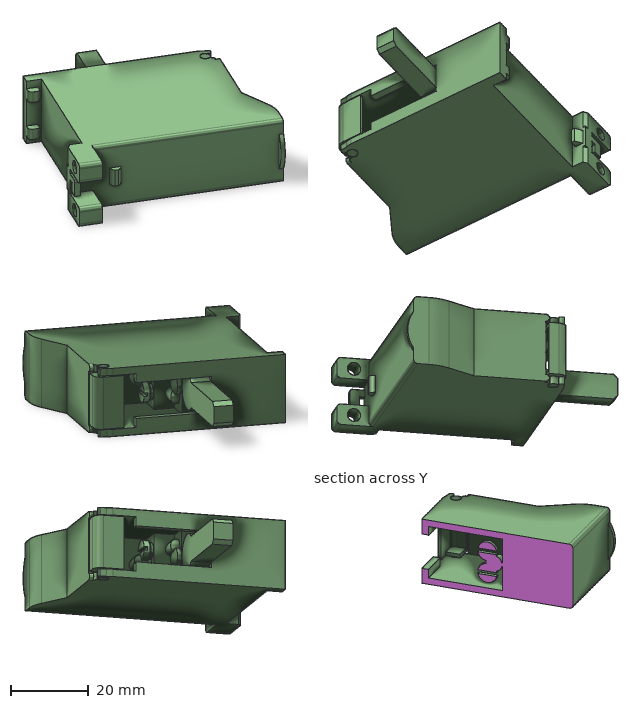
import cadquery as cq
import math


total_length = 69.7
lever_reach = 19.25
flange_end = total_length - lever_reach
thickness = 18.2
half_thickness = thickness / 2
housing_length = 41.95
overall_height = 57.2
shoulder_height = 51.1
slope_start = 24.7
slope_top_x = 32.35
slope_top_y = 55.6
crown_mid_x = 35.0
crown_mid_y = 56.8
crown_end = 38.0
back_edge_radius = 1.05

rail_depth = 4.05
left_foot_width = 3.0
right_foot_start = 38.95
foot_chamfer_length = 1.1
flange_height = 6.1
flange_corner_radius = 1.1
flange_gap = 7.05
ear_hole_x = 45.9
ear_hole_z = 6.3
ear_hole_diameter = 3.4

clip_reach = 2.15
clip_height = 3.1
clip_width = 3.0
clip_z = 5.45
clip_bottom_radius = 1.1
clip_top_radius = 0.6

latch_width = 4.6
latch_reach = 1.9
latch_nose_y = 2.15
latch_root_y = 0.8
tongue_end = 45.9
tongue_thickness = 1.5
tongue_corner_radius = 0.6
tongue_slot_width = 1.45
tongue_slot_height = 2.7

bump_y = 12.05
bump_half_height = 1.5
bump_tip_half_height = 0.5
bump_flank_half_height = 1.25
bump_reach = 1.5
lip_reach = 1.5
lip_height = 1.2
lip_radius = 9.05

wall = 1.9
window_width = 9.55
cavity_width = 14.35
window_bottom = 19.85
window_shoulder = 40.1
cavity_top = 50.0
corner_opening = 5.7
hub_space_end = 9.05
steps = [(15.3, 25.1), (22.3, 30.6), (30.7, 38.1)]

cover_width = 13.9
cover_length = 4.9
cover_bottom = 43.3
cover_wall = 0.85
cover_radius = 2.3
cover_arm_bottom = 46.3
cover_arm_thickness = 1.05
pin_x = 3.1
pin_y = 47.9
pin_radius = 1.4
pin_recess = 0.105
neck_half_width = 1.2
horn_foot_x = 0.1
horn_root_x = 0.3
horn_tip_x = 0.5
horn_crest_x = 1.1
horn_shoulder_drop = 0.35
stop_radius = (thickness - cavity_width) / 4

lever_bottom = window_bottom
lever_top = 25.1
lever_width = 6.7
lever_chamfer = 1.1
hub_x = 4.05
hub_radius = 4.7

screw_head_radius = 2.7
screw_head_height = 2.0
screw_head_chamfer = 0.4
screw_neck_radius = 2.2
screw_neck_height = 0.6
screw_slot_width = 0.9
screw_slot_depth = 0.9
stud_radius = 2.3
side_terminal_z = 3.1
terminal_inset = 2.8
rear_stud_apex = 4.6
front_stud_apex = 2.45
button_rim = 1.1
button_rise = 0.85


def block(x0, x1, y0, y1, width, z=0.0):
    """Box between two X and two Y values, centred on z."""
    centre = ((x0 + x1) / 2, (y0 + y1) / 2, z)
    return cq.Workplane("XY").box(x1 - x0, y1 - y0, width).translate(centre)


def upright(x, y, z, radius, height):
    """Cylinder standing on (x, y, z) along +Y."""
    return cq.Workplane(cq.Solid.makeCylinder(radius, height, cq.Vector(x, y, z), cq.Vector(0, 1, 0)))


def housing():
    outline = (
        cq.Workplane("XY")
        .moveTo(0, 0)
        .lineTo(left_foot_width, 0)
        .lineTo(left_foot_width, rail_depth)
        .lineTo(right_foot_start, rail_depth)
        .lineTo(right_foot_start, flange_height)
        .lineTo(housing_length, flange_height)
        .lineTo(housing_length, overall_height)
        .lineTo(crown_end, overall_height)
        .threePointArc((crown_mid_x, crown_mid_y), (slope_top_x, slope_top_y))
        .lineTo(slope_start, shoulder_height)
        .lineTo(0, shoulder_height)
        .close()
    )
    body = outline.extrude(half_thickness, both=True)
    return body.edges("|Y").edges(">X").fillet(back_edge_radius)


def flange():
    ears = block(right_foot_start, flange_end, 0, flange_height, thickness)
    foot_corner = (
        cq.Workplane("XY")
        .polyline([
            (right_foot_start, 0),
            (right_foot_start + foot_chamfer_length, 0),
            (right_foot_start, latch_root_y),
        ])
        .close()
        .extrude(half_thickness, both=True)
    )
    ears = ears.cut(foot_corner)
    ears = ears.union(block(right_foot_start, housing_length, 0, flange_height, flange_gap))
    ears = ears.cut(block(housing_length, flange_end, 0, flange_height, flange_gap))
    ears = ears.edges("|Y").edges(">X").fillet(flange_corner_radius)
    for side in (-1, 1):
        ears = ears.cut(
            upright(ear_hole_x, 0, side * ear_hole_z, ear_hole_diameter / 2, flange_height)
        )
    return ears


def rail_clip(side):
    end = left_foot_width + clip_reach
    clip = block(left_foot_width, end, 0, clip_height, clip_width, side * clip_z)
    clip = clip.edges("|Z").edges(">X").edges("<Y").fillet(clip_bottom_radius)
    return clip.edges("|Z").edges(">X").edges(">Y").fillet(clip_top_radius)


def latch():
    nose_x = right_foot_start - latch_reach
    nose = (
        cq.Workplane("XY")
        .polyline([
            (right_foot_start, latch_root_y),
            (nose_x, latch_nose_y),
            (nose_x, clip_height),
            (right_foot_start, clip_height),
        ])
        .close()
        .extrude(latch_width / 2, both=True)
    )
    tongue = block(housing_length, tongue_end, 0, tongue_thickness, latch_width)
    tongue = tongue.edges("|Y").edges(">X").edges(">Z").fillet(tongue_corner_radius)
    slot_z = (tongue_slot_height - latch_width) / 2
    slot_end = housing_length + tongue_slot_width
    slot = block(housing_length, slot_end, 0, tongue_thickness, tongue_slot_height, slot_z)
    return nose.union(tongue.cut(slot))


def back_bump():
    flank_x = housing_length + bump_reach / 2
    tip_x = housing_length + bump_reach
    lower_flank = (flank_x, bump_y - bump_flank_half_height)
    upper_flank = (flank_x, bump_y + bump_flank_half_height)
    outline = (
        cq.Workplane("XY")
        .moveTo(housing_length, bump_y - bump_half_height)
        .threePointArc(lower_flank, (tip_x, bump_y - bump_tip_half_height))
        .lineTo(tip_x, bump_y + bump_tip_half_height)
        .threePointArc(upper_flank, (housing_length, bump_y + bump_half_height))
        .close()
    )
    return outline.extrude(latch_width / 2, both=True)


def lip():
    tip = housing_length + lip_reach
    disc = upright(tip - lip_radius, overall_height - lip_height, 0, lip_radius, lip_height)
    keep = block(housing_length - wall, tip, overall_height - lip_height, overall_height, thickness)
    return disc.intersect(keep)


def cavity():
    narrow = block(0, wall, window_bottom, window_shoulder, window_width)
    wide = block(0, wall, window_shoulder, cavity_top, cavity_width)
    corner = block(0, corner_opening, window_shoulder, shoulder_height, cavity_width)
    room = block(wall, hub_space_end, window_bottom, cavity_top, cavity_width)
    space = narrow.union(wide).union(corner).union(room)
    start = hub_space_end
    for end, floor in steps:
        space = space.union(block(start, end, floor, cavity_top, cavity_width))
        start = end
    return space


def corner_notch():
    """Cut through both side walls that seats the hinge pin and leaves a horn beside it."""
    horn_y = cavity_top
    neck_y = pin_y + pin_radius
    outline = (
        cq.Workplane("XY")
        .moveTo(0, cover_arm_bottom)
        .threePointArc((horn_foot_x, (cover_arm_bottom + pin_y) / 2), (horn_root_x, pin_y))
        .lineTo(horn_tip_x, horn_y - horn_shoulder_drop)
        .threePointArc((horn_crest_x, horn_y), (pin_x - neck_half_width, neck_y))
        .lineTo(pin_x - neck_half_width, pin_y)
        .lineTo(pin_x + neck_half_width, pin_y)
        .lineTo(pin_x + neck_half_width, neck_y)
        .lineTo(cover_length, horn_y)
        .lineTo(corner_opening, horn_y)
        .lineTo(corner_opening, shoulder_height)
        .lineTo(0, shoulder_height)
        .close()
    )
    seat = cq.Workplane("XY").center(pin_x, pin_y).circle(pin_radius)
    return outline.extrude(half_thickness, both=True).union(seat.extrude(half_thickness, both=True))


def cover_stops():
    """Half-round stops on both side walls, facing the end of the cover."""
    height = shoulder_height - cavity_top
    stop_z = half_thickness - stop_radius
    upper = upright(corner_opening, cavity_top, stop_z, stop_radius, height)
    return upper.union(upper.mirror("XY"))


def cover():
    shell = block(0, cover_length, cover_bottom, shoulder_height, cover_width)
    shell = shell.edges("|Z").edges("<X").edges(">Y").fillet(cover_radius)
    inside_width = cover_width - 2 * cover_arm_thickness
    inner_top = shoulder_height - cover_wall
    hollow = block(cover_wall, cover_length, cover_bottom, inner_top, inside_width)
    hollow = hollow.edges("|Z").edges("<X").edges(">Y").fillet(cover_radius - cover_wall)
    below_arms = block(cover_wall, cover_length, cover_bottom, cover_arm_bottom, cover_width)
    shell = shell.cut(hollow).cut(below_arms)
    pin_end = half_thickness - pin_recess
    pin_length = pin_end - inside_width / 2
    for side in (-1, 1):
        pin = cq.Workplane("XY").center(pin_x, pin_y).circle(pin_radius).extrude(pin_length)
        pin = pin.translate((0, 0, inside_width / 2 if side > 0 else -pin_end))
        shell = shell.union(pin)
    return shell


def lever():
    bar = block(-lever_reach, hub_x, lever_bottom, lever_top, lever_width)
    bar = bar.edges("|Y").edges("<X").chamfer(lever_chamfer)
    hub = upright(hub_x, lever_bottom, 0, hub_radius, lever_top - lever_bottom)
    return bar.union(hub)


def screw(x, y, z):
    neck = upright(x, y, z, screw_neck_radius, screw_neck_height)
    head = upright(x, y + screw_neck_height, z, screw_head_radius, screw_head_height)
    head = head.faces("<Y").chamfer(screw_head_chamfer)
    top = y + screw_neck_height + screw_head_height
    slot = block(
        x - screw_head_radius, x + screw_head_radius, top - screw_slot_depth, top, screw_slot_width, z
    )
    return neck.union(head.cut(slot))


def button(x, y):
    """Low disc with a shallow domed top."""
    dome_radius = (screw_head_radius ** 2 + button_rise ** 2) / (2 * button_rise)
    apex = button_rim + button_rise
    half_angle = math.asin(screw_head_radius / dome_radius) / 2
    arc_mid = (
        dome_radius * math.sin(half_angle),
        apex - dome_radius * (1 - math.cos(half_angle)),
    )
    half_profile = (
        cq.Workplane("XY")
        .lineTo(screw_head_radius, 0)
        .lineTo(screw_head_radius, button_rim)
        .threePointArc(arc_mid, (0, apex))
        .close()
    )
    return half_profile.revolve(360, (0, 0), (0, 1)).translate((x, y, 0))


def stud(x, y, z, apex):
    """Round post whose end, `apex` above y, is rounded about an axis along X."""
    post = upright(x, y, z, stud_radius, apex)
    barrel = (
        cq.Workplane("YZ", origin=(x - stud_radius, y + apex - stud_radius, z))
        .circle(stud_radius)
        .extrude(2 * stud_radius)
    )
    shaft = block(
        x - stud_radius, x + stud_radius, y, y + apex - stud_radius, 2 * stud_radius, z
    )
    return post.intersect(barrel.union(shaft))


def terminals():
    front_end, front_floor = steps[0]
    middle_end, middle_floor = steps[1]
    rear_floor = steps[2][1]
    parts = screw(middle_end + terminal_inset, rear_floor, 0)
    parts = parts.union(stud(middle_end - stud_radius, middle_floor, 0, rear_stud_apex))
    parts = parts.union(button(hub_space_end + terminal_inset, front_floor))
    for side in (-1, 1):
        z = side * side_terminal_z
        parts = parts.union(screw(front_end + terminal_inset, middle_floor, z))
        parts = parts.union(stud(front_end - stud_radius, front_floor, z, front_stud_apex))
    return parts


result = housing().union(flange())
for side in (-1, 1):
    result = result.union(rail_clip(side))
result = result.union(latch()).union(back_bump()).union(lip())
result = result.cut(cavity()).cut(corner_notch())
result = result.union(cover_stops())
result = result.union(cover()).union(lever()).union(terminals())